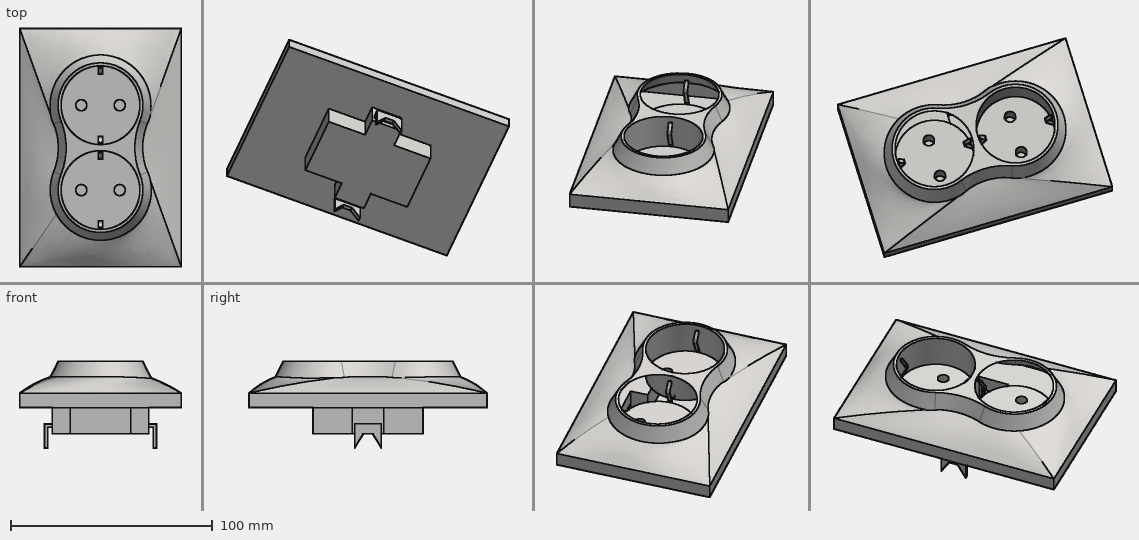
import cadquery as cq
import math

PLATE_TOP = 7.2
CROWN_TOP = 15.25
COLLAR_TOP = 23.0
COLLAR_FOOT = 14.25
SOCKET_FLOOR = 6.0
BODY_BOTTOM = -13.0
CLAW_TOP = -8.0
CLAW_BOTTOM = -20.0

PLATE_X = 80.0
PLATE_Y = 118.0

SOCKET_Y = 21.0
COLLAR_TOP_RADIUS = 21.0
COLLAR_TOP_WAIST = 17.0
COLLAR_SPREAD = 3.9

CROWN_BULGE = 0.6
CROWN_CORNER_ANGLE = 28.0
CROWN_OVERLAP = 0.05
CROWN_SAMPLES = 14

SOCKET_DIAMETER = 39.0
PIN_DIAMETER = 5.5
PIN_X = 9.5
PIN_DEPTH = 10.0

CONTACT_WIDTH = 2.0
CONTACT_THICKNESS = 0.5
CONTACT_REACH = 4.6
CONTACT_BEND_Z = 15.8
CONTACT_BEND_RADIUS = 2.5
CONTACT_TIP_GAP = 0.5
CONTACT_TIP_Z = 20.3
CONTACT_TIP_RADIUS = 0.8

BODY_X = 48.0
BODY_X_ARM_WIDTH = 15.6
BODY_Y = 54.6
BODY_Y_ARM_WIDTH = 30.0

CLAW_OUTER_X = 27.8
CLAW_THICKNESS = 1.8
CLAW_WIDTH = 13.2
CLAW_NOTCH_WIDTH = 4.4
CLAW_NOTCH_TOP = -12.8


def collar_points(spread):
    """Joint between the round end and the waist, end apex and waist point in the +X +Y quarter."""
    radius = COLLAR_TOP_RADIUS + spread
    waist = COLLAR_TOP_WAIST + spread
    waist_radius = (SOCKET_Y**2 + waist**2 - radius**2) / (2 * (radius - waist))
    share = radius / (radius + waist_radius)
    joint = ((waist + waist_radius) * share, SOCKET_Y * (1 - share))
    return joint, (0, SOCKET_Y + radius), (waist, 0)


def four_arc_wire(joint, apex, waist, z):
    """Closed outline, symmetric in X and Y, of two end arcs and two waist arcs."""
    (jx, jy), (_, apex_y), (waist_x, _) = joint, apex, waist
    return (
        cq.Workplane("XY", origin=(0, 0, z))
        .moveTo(jx, jy)
        .threePointArc((0, apex_y), (-jx, jy))
        .threePointArc((-waist_x, 0), (-jx, -jy))
        .threePointArc((0, -apex_y), (jx, -jy))
        .threePointArc((waist_x, 0), (jx, jy))
        .close()
        .wire()
        .val()
    )


def make_plate():
    return cq.Workplane("XY").rect(PLATE_X, PLATE_Y).extrude(PLATE_TOP)


def crown_base_sides():
    """Collar outline at the crown top, as four wires going round from the +X +Y joint.

    Three crown corners run to joints of the outline. The -X -Y corner runs to a point farther
    round the end arc, so the -X side has the waist arc and a piece of the end arc.
    """
    (jx, jy), (_, apex_y), (waist_x, _) = collar_points(COLLAR_SPREAD - CROWN_OVERLAP)
    radius = apex_y - SOCKET_Y
    turn = math.radians(CROWN_CORNER_ANGLE)
    arc_point = (-radius * math.cos(turn), -SOCKET_Y - radius * math.sin(turn))

    def arc(start, middle, end):
        return cq.Edge.makeThreePointArc(*[cq.Vector(*point) for point in (start, middle, end)])

    top = [arc((jx, jy), (0, apex_y), (-jx, jy))]
    left = [
        arc((-jx, jy), (-waist_x, 0), (-jx, -jy)),
        arc((-jx, -jy), (-radius, -SOCKET_Y), arc_point),
    ]
    bottom = [arc(arc_point, (0, -apex_y), (jx, -jy))]
    right = [arc((jx, -jy), (waist_x, 0), (jx, jy))]
    return [cq.Wire.assembleEdges(edges) for edges in (top, left, bottom, right)]


def make_crown():
    """Domed transition from the rectangular plate edge up into the foot of the collar."""
    x = PLATE_X / 2
    y = PLATE_Y / 2
    corners = [cq.Vector(x, y), cq.Vector(-x, y), cq.Vector(-x, -y), cq.Vector(x, -y)]
    base_sides = crown_base_sides()

    def section(fraction, height_fraction):
        """Outline at a fraction of the way from the plate edge to the collar, one curve per side."""
        rise = cq.Vector(0, 0, PLATE_TOP + height_fraction * (CROWN_TOP - PLATE_TOP))
        curves = []
        for index, base_side in enumerate(base_sides):
            start = corners[index]
            end = corners[(index + 1) % len(corners)]
            points = []
            for step in range(CROWN_SAMPLES + 1):
                along = step / CROWN_SAMPLES
                plate_point = start + (end - start) * along
                base_point = base_side.positionAt(along)
                points.append(plate_point + (base_point - plate_point) * fraction + rise)
            curves.append(cq.Edge.makeSpline(points))
        return cq.Wire.assembleEdges(curves)

    sections = [section(0, 0), section(0.5, CROWN_BULGE), section(1, 1)]
    return cq.Workplane(cq.Solid.makeLoft(sections))


def make_collar():
    """Tapered collar, continued a little below the crown surface."""
    foot_spread = COLLAR_SPREAD * (COLLAR_TOP - COLLAR_FOOT) / (COLLAR_TOP - CROWN_TOP)
    foot = four_arc_wire(*collar_points(foot_spread), COLLAR_FOOT)
    top = four_arc_wire(*collar_points(0), COLLAR_TOP)
    return cq.Workplane(cq.Solid.makeLoft([foot, top], True))


def make_body():
    x_arm = cq.Workplane("XY").rect(BODY_X, BODY_X_ARM_WIDTH).extrude(BODY_BOTTOM)
    y_arm = cq.Workplane("XY").rect(BODY_Y_ARM_WIDTH, BODY_Y).extrude(BODY_BOTTOM)
    return x_arm.union(y_arm)


def make_claw():
    """Angled claw on the +X side with a notched lower edge that leaves two points."""
    inner_x = CLAW_OUTER_X - CLAW_THICKNESS
    profile = [
        (BODY_X / 2, CLAW_TOP),
        (CLAW_OUTER_X, CLAW_TOP),
        (CLAW_OUTER_X, CLAW_BOTTOM),
        (inner_x, CLAW_BOTTOM),
        (inner_x, CLAW_TOP - CLAW_THICKNESS),
        (BODY_X / 2, CLAW_TOP - CLAW_THICKNESS),
    ]
    claw = cq.Workplane("XZ").polyline(profile).close().extrude(CLAW_WIDTH / 2, both=True)
    notch = (
        cq.Workplane("YZ")
        .moveTo(-CLAW_WIDTH / 2, CLAW_BOTTOM)
        .lineTo(-CLAW_NOTCH_WIDTH / 2, CLAW_NOTCH_TOP)
        .lineTo(CLAW_NOTCH_WIDTH / 2, CLAW_NOTCH_TOP)
        .lineTo(CLAW_WIDTH / 2, CLAW_BOTTOM)
        .close()
        .extrude(CLAW_OUTER_X)
    )
    return claw.cut(notch)


def make_socket_cutter():
    """Round recess with its two pin holes, on the Z axis."""
    recess = (
        cq.Workplane("XY", origin=(0, 0, SOCKET_FLOOR))
        .circle(SOCKET_DIAMETER / 2)
        .extrude(COLLAR_TOP - SOCKET_FLOOR)
    )
    pins = (
        cq.Workplane("XY", origin=(0, 0, SOCKET_FLOOR))
        .pushPoints([(-PIN_X, 0), (PIN_X, 0)])
        .circle(PIN_DIAMETER / 2)
        .extrude(-PIN_DEPTH)
    )
    return recess.union(pins)


def make_contact():
    """Earth contact on the +Y wall of a socket on the Z axis, with a rounded free end."""
    wall = SOCKET_DIAMETER / 2
    bend_y = wall - CONTACT_REACH
    tip_y = wall - CONTACT_TIP_GAP
    profile = [
        (wall, SOCKET_FLOOR),
        (bend_y, CONTACT_BEND_Z),
        (tip_y - CONTACT_THICKNESS, CONTACT_TIP_Z),
        (tip_y, CONTACT_TIP_Z),
        (bend_y + CONTACT_THICKNESS, CONTACT_BEND_Z),
        (wall + CONTACT_THICKNESS, SOCKET_FLOOR),
    ]
    strip = cq.Workplane("YZ").polyline(profile).close().extrude(CONTACT_WIDTH / 2, both=True)
    front_bend = cq.NearestToPointSelector((0, bend_y, CONTACT_BEND_Z))
    back_bend = cq.NearestToPointSelector((0, bend_y + CONTACT_THICKNESS, CONTACT_BEND_Z))
    strip = strip.edges(front_bend).fillet(CONTACT_BEND_RADIUS)
    strip = strip.edges(back_bend).fillet(CONTACT_BEND_RADIUS - CONTACT_THICKNESS)

    round_tip = (
        cq.Workplane("XY")
        .box(CONTACT_WIDTH, 2 * SOCKET_DIAMETER, 2 * CONTACT_TIP_Z)
        .edges("|Y and >Z")
        .fillet(CONTACT_TIP_RADIUS)
    )
    return strip.intersect(round_tip)


part = make_plate().union(make_crown()).union(make_collar()).union(make_body())
claw = make_claw()
part = part.union(claw).union(claw.mirror("YZ"))

socket_cutter = make_socket_cutter()
contact = make_contact()
contact_pair = (contact, contact.mirror("XZ"))
for socket_y in (-SOCKET_Y, SOCKET_Y):
    part = part.cut(socket_cutter.translate((0, socket_y, 0)))
    for strip in contact_pair:
        part = part.union(strip.translate((0, socket_y, 0)))

result = cq.Workplane(part.solids().val())